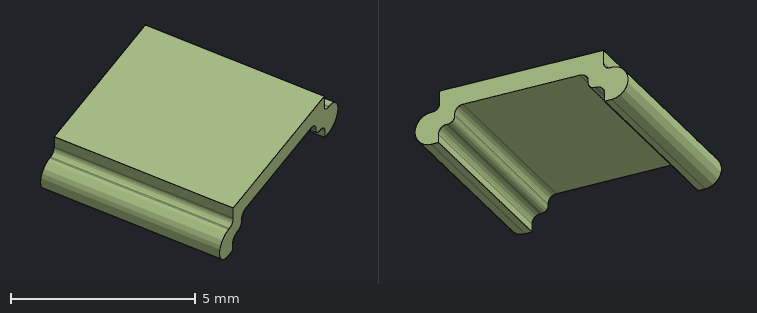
import cadquery as cq

length = 5.6
width = 6.5
height = 1.6
bead_radius = 0.5
plate_width = 5.005
rail_gap = 5.06
channel_width = 4.07
plate_corner_radius = 0.2
hollow_radius = 0.25
step_radius = 0.2

half_width = width / 2
half_plate = plate_width / 2
half_gap = rail_gap / 2
half_channel = channel_width / 2
bead_center_y = half_width - bead_radius
bead_top = 2 * bead_radius
channel_ceiling = bead_top
step_height = bead_radius


def half_profile():
    """Closed YZ outline of the half on the +Y side of the centre plane."""
    return (
        cq.Workplane("YZ")
        .moveTo(0, height)
        .lineTo(half_plate, height)
        .lineTo(half_plate, bead_top + plate_corner_radius)
        .radiusArc((half_plate + plate_corner_radius, bead_top), -plate_corner_radius)
        .lineTo(bead_center_y, bead_top)
        .threePointArc((half_width, bead_radius), (bead_center_y, 0))
        .lineTo(half_gap, 0)
        .lineTo(half_gap, step_height - hollow_radius)
        .radiusArc((half_gap - hollow_radius, step_height), -hollow_radius)
        .lineTo(half_channel + step_radius, step_height)
        .radiusArc((half_channel, step_height + step_radius), step_radius)
        .lineTo(half_channel, channel_ceiling - hollow_radius)
        .radiusArc((half_channel - hollow_radius, channel_ceiling), -hollow_radius)
        .lineTo(0, channel_ceiling)
        .close()
    )


half = half_profile().extrude(length / 2, both=True)
result = half.union(half.mirror("XZ")).clean()